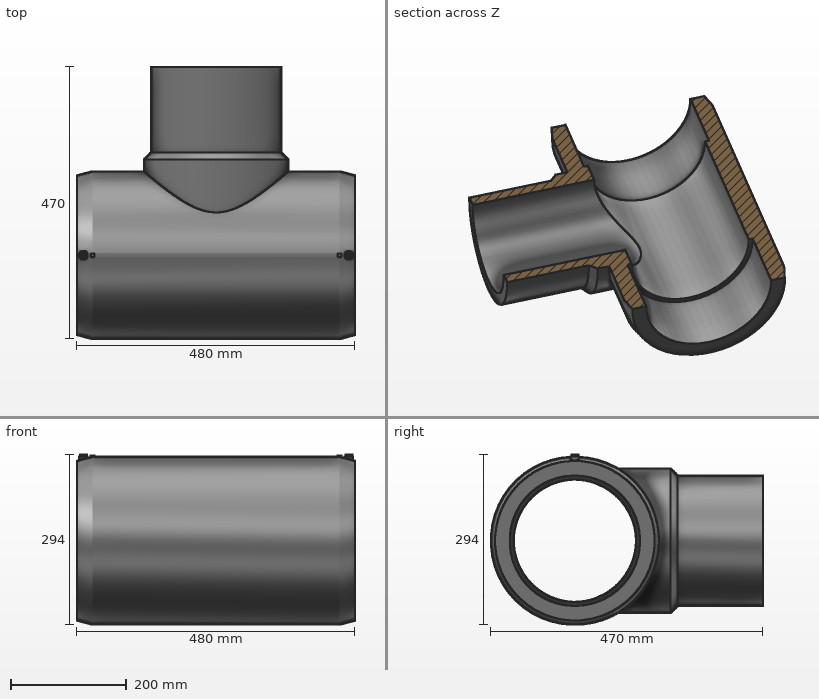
import cadquery as cq

run_length = 480.0
run_radius = 290.0 / 2
end_taper_length = 27.0
end_radius = 137.75

pipe_radius = 225.0 / 2
bore_radius = 211.0 / 2
socket_depth = 110.0

branch_reach = 325.0
branch_bore_radius = 184.0 / 2
collar_radius = 249.5 / 2
collar_chamfer = collar_radius - pipe_radius
collar_end = 177.5

terminal_inset = 11.0
terminal_base_radius = 7.5
terminal_base_top = 145.5
shroud_top_radius = 6.0
shroud_root_radius = 5.0
shroud_top = 149.0
recess_radius = 4.2
recess_depth = 3.0
pin_radius = 2.35
indicator_radius = 3.5
indicator_top = run_radius + 2.0
embed_depth = 15.0


def cylinder_along_x(radius, start, length):
    return cq.Workplane("YZ", origin=(start, 0, 0)).circle(radius).extrude(length)


def upright_cylinder(radius, x, bottom, top):
    return cq.Workplane("XY", origin=(x, 0, bottom)).circle(radius).extrude(top - bottom)


def run_body():
    """Solid run with a conical taper at each end."""
    half = run_length / 2
    profile = [
        (-half, 0),
        (-half, end_radius),
        (-half + end_taper_length, run_radius),
        (half - end_taper_length, run_radius),
        (half, end_radius),
        (half, 0),
    ]
    return cq.Workplane("XY").polyline(profile).close().revolve(360, (0, 0, 0), (1, 0, 0))


def branch_body():
    """Solid branch: a collar that narrows through a chamfer to the spigot."""
    profile = [
        (0, 0),
        (collar_radius, 0),
        (collar_radius, collar_end - collar_chamfer),
        (pipe_radius, collar_end),
        (pipe_radius, branch_reach),
        (0, branch_reach),
    ]
    return cq.Workplane("XY").polyline(profile).close().revolve(360, (0, 0, 0), (0, 1, 0))


def bores():
    """Run bore with a socket at each end, and the branch bore that meets it."""
    half = run_length / 2
    cut = cylinder_along_x(bore_radius, -half, run_length)
    for start in (-half, half - socket_depth):
        cut = cut.union(cylinder_along_x(pipe_radius, start, socket_depth))
    branch_bore = cq.Workplane("XZ").circle(branch_bore_radius).extrude(-branch_reach)
    return cut.union(branch_bore)


def terminal(x):
    """Round base with a flared shroud around a contact pin that ends level with the shroud."""
    base = upright_cylinder(terminal_base_radius, x, run_radius - embed_depth, terminal_base_top)
    shroud = (
        cq.Workplane("XY", origin=(x, 0, terminal_base_top))
        .circle(shroud_root_radius)
        .workplane(offset=shroud_top - terminal_base_top)
        .circle(shroud_top_radius)
        .loft(ruled=True)
    )
    recess_bottom = shroud_top - recess_depth
    recess = upright_cylinder(recess_radius, x, recess_bottom, shroud_top)
    pin = upright_cylinder(pin_radius, x, recess_bottom, shroud_top)
    return base.union(shroud).cut(recess.cut(pin))


def indicator(x):
    """Small round fusion indicator standing just proud of the run."""
    return upright_cylinder(indicator_radius, x, run_radius - embed_depth, indicator_top)


result = run_body().union(branch_body()).cut(bores())
for side in (-1, 1):
    result = result.union(terminal(side * (run_length / 2 - terminal_inset)))
    result = result.union(indicator(side * (run_length / 2 - end_taper_length)))